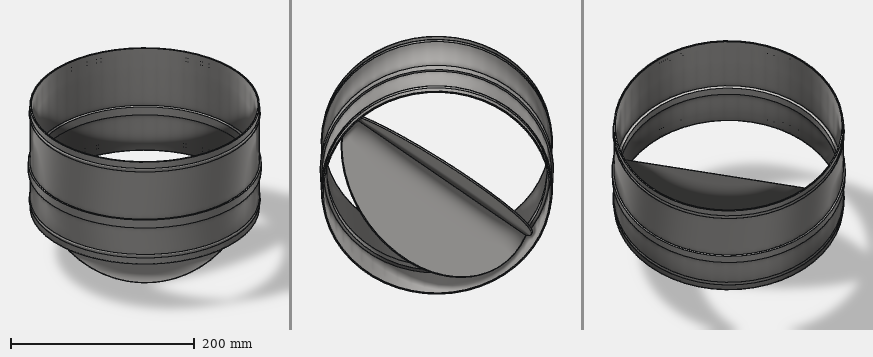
import cadquery as cq
import math

tube_radius = 125.0
wall = 1.5
bore_radius = tube_radius - wall
tube_height = 128.0
bottom_z = -46.5
top_z = bottom_z + tube_height

ring_height = 10.0
ring_outer_radius = 127.0
ring_inner_radius = 120.0

bead_width = 4.4
bead_projection = 1.0
bead_end_distance = 10.0
bead_heights = (bottom_z + bead_end_distance, top_z - bead_end_distance)

damper_radius = 123.0
damper_thickness = 2.0
damper_angle = math.radians(60)


def ring(outer_radius, inner_radius, z, height):
    """Plain ring around the Z axis that starts at height z."""
    return cq.Workplane("XY").workplane(offset=z).circle(outer_radius).circle(inner_radius).extrude(height)


def bead(z):
    """Arc-shaped rib around the duct, rooted within its wall."""
    root_radius = tube_radius - wall / 2
    return (
        cq.Workplane("XZ")
        .moveTo(root_radius, z - bead_width / 2)
        .lineTo(tube_radius, z - bead_width / 2)
        .threePointArc((tube_radius + bead_projection, z), (tube_radius, z + bead_width / 2))
        .lineTo(root_radius, z + bead_width / 2)
        .close()
        .revolve(360, (0, 0, 0), (0, 1, 0))
    )


def make_housing():
    """Duct with its stop ring and two sealing beads."""
    body = ring(tube_radius, bore_radius, bottom_z, tube_height)
    body = body.union(ring(ring_outer_radius, ring_inner_radius, 0, ring_height))
    for z in bead_heights:
        body = body.union(bead(z))
    return body


def damper_half(side):
    """Half disc sloping down from the fold, towards -X or +X as side is -1 or 1."""
    down_slope = cq.Vector(side * math.cos(damper_angle), 0, -math.sin(damper_angle))
    upper_normal = cq.Vector(side * math.sin(damper_angle), 0, math.cos(damper_angle))
    upper_face = cq.Plane(origin=(0, 0, 0), xDir=down_slope, normal=upper_normal)
    half_disc = (
        cq.Workplane(upper_face)
        .moveTo(0, -damper_radius)
        .threePointArc((damper_radius, 0), (0, damper_radius))
        .close()
        .extrude(-damper_thickness)
    )
    own_side = cq.Workplane("XY").box(2 * damper_radius, 2 * damper_radius, 4 * damper_radius)
    return half_disc.intersect(own_side.translate((side * damper_radius, 0, 0)))


def make_damper():
    """Both half discs joined along the fold."""
    return damper_half(-1).union(damper_half(1))


housing = make_housing().solids()
damper = make_damper().solids()

result = cq.Compound.makeCompound([housing.val(), damper.val()])